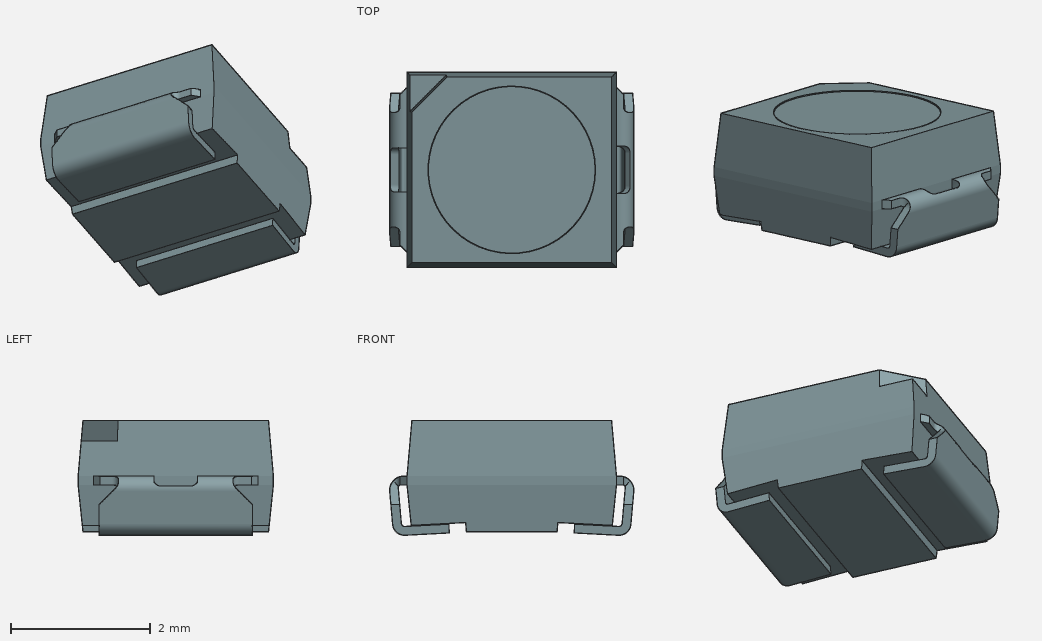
import cadquery as cq
import math

HOUSING_HALF_X = 1.5
HOUSING_HALF_Y = 1.4
HOUSING_TOP_Z = 1.65
HOUSING_BOTTOM_Z = 0.05
DRAFT_INSET = 0.07
DRAFT_ANGLE = 5.0

CUP_RIM_RADIUS = 1.2
CUP_FLOOR_RADIUS = 0.84
CUP_DEPTH = 0.7
LENS_RECESS = 0.015

MARK_DIAGONAL_SUM = 2.258
MARK_DEPTH = 0.298

BLOCK_HALF_X = 0.65
LEAD_CLEARANCE = 0.007

LEAD_THICKNESS = 0.13
LEAD_REACH = 1.75
PLATE_TOP_Z = 0.85
UPPER_BEND_RADIUS = 0.205
LOWER_BEND_RADIUS = 0.175
UPPER_INNER_RADIUS = 0.035
LEG_LEAN = 5.0
FOOT_RISE = 3.0
FOOT_TIP_X = 0.892

LEG_HALF_Y = 1.1
LEG_SHOULDER_Z = 0.44
NECK_HALF_Y = 0.82
NECK_RADIUS = 0.14
PLATE_END_X = 1.6
PLATE_HALF_Y = 1.18
RELIEF_RADIUS = 0.088
RELIEF_MID_ANGLE = 225.0

WINDOW_SLOPE = 45.0
WINDOW_HEIGHT = 0.42
LEFT_WINDOW_HALF_Y = 0.315
LEFT_WINDOW_FLOOR_Z = 0.707
LEFT_WINDOW_RADIUS = 0.098
RIGHT_WINDOW_HALF_Y = 0.34
RIGHT_WINDOW_FLOOR_Z = 0.785
RIGHT_WINDOW_RADIUS = 0.105

PLATE_BOTTOM_Z = PLATE_TOP_Z - LEAD_THICKNESS
LOWER_INNER_RADIUS = LOWER_BEND_RADIUS - LEAD_THICKNESS
UPPER_CENTRE = (LEAD_REACH - UPPER_BEND_RADIUS, PLATE_TOP_Z - UPPER_BEND_RADIUS)

PLATE_NORMAL = 90.0
LEG_NORMAL = -LEG_LEAN
FOOT_NORMAL = -90.0 - FOOT_RISE

FOOT_SLOPE = math.tan(math.radians(FOOT_RISE))
DRAFT_SLOPE = math.tan(math.radians(DRAFT_ANGLE))


def polar(centre, radius, angle):
    """Point at a radius and an angle in degrees around a centre."""
    turn = math.radians(angle)
    return (centre[0] + radius * math.cos(turn), centre[1] + radius * math.sin(turn))


def bend_centre(z, offset):
    """Centre at height z of a bend tangent to a face of the leg.

    The offset is its distance from UPPER_CENTRE, measured square to the leg.
    """
    lean = math.radians(LEG_LEAN)
    drop = UPPER_CENTRE[1] - z
    return (UPPER_CENTRE[0] + (offset - drop * math.sin(lean)) / math.cos(lean), z)


def prism_y(sketch, half_width):
    """Extrude an XZ sketch symmetrically along Y."""
    return sketch.extrude(half_width, both=True)


def foot_top_z(x):
    """Height of the upper face of a foot at a distance x from the middle."""
    start = polar(LOWER_CENTRE, LOWER_INNER_RADIUS, FOOT_NORMAL)
    return start[1] + (start[0] - x) * FOOT_SLOPE


LOWER_CENTRE = bend_centre(LOWER_BEND_RADIUS, UPPER_BEND_RADIUS - LOWER_BEND_RADIUS)
UPPER_INNER_CENTRE = bend_centre(
    PLATE_BOTTOM_Z - UPPER_INNER_RADIUS,
    UPPER_BEND_RADIUS - LEAD_THICKNESS - UPPER_INNER_RADIUS,
)


def drafted_block(start_z, end_z):
    """Block that tapers from the belt section to the inset end section."""
    return (
        cq.Workplane("XY", origin=(0, 0, start_z))
        .rect(2 * HOUSING_HALF_X, 2 * HOUSING_HALF_Y)
        .workplane(offset=end_z - start_z)
        .rect(2 * (HOUSING_HALF_X - DRAFT_INSET), 2 * (HOUSING_HALF_Y - DRAFT_INSET))
        .loft(ruled=True)
    )


def cup_cone(top_radius, height):
    """Cone frustum that stands on the cup floor."""
    return (
        cq.Workplane("XY", origin=(0, 0, HOUSING_TOP_Z - CUP_DEPTH))
        .circle(CUP_FLOOR_RADIUS)
        .workplane(offset=height)
        .circle(top_radius)
        .loft()
    )


def corner_mark():
    """Cutter for the triangular step at the (-X, +Y) corner, its wall drafted."""
    floor_z = HOUSING_TOP_Z - MARK_DEPTH
    floor_sum = MARK_DIAGONAL_SUM + MARK_DEPTH * DRAFT_SLOPE * math.sqrt(2)

    def triangle(sketch, diagonal_sum):
        return sketch.polyline(
            [
                (-HOUSING_HALF_X, diagonal_sum - HOUSING_HALF_X),
                (HOUSING_HALF_Y - diagonal_sum, HOUSING_HALF_Y),
                (-HOUSING_HALF_X, HOUSING_HALF_Y),
            ]
        ).close()

    lower = triangle(cq.Workplane("XY", origin=(0, 0, floor_z)), floor_sum)
    return triangle(lower.workplane(offset=MARK_DEPTH), MARK_DIAGONAL_SUM).loft(ruled=True)


def foot_recess(side):
    """Cutter that clears the foot of one lead beneath the housing."""
    roof_inner_x = BLOCK_HALF_X + (foot_top_z(BLOCK_HALF_X) - HOUSING_BOTTOM_Z) * DRAFT_SLOPE
    points = [
        (BLOCK_HALF_X, HOUSING_BOTTOM_Z),
        (roof_inner_x, foot_top_z(roof_inner_x) + LEAD_CLEARANCE),
        (HOUSING_HALF_X, foot_top_z(HOUSING_HALF_X) + LEAD_CLEARANCE),
        (HOUSING_HALF_X, HOUSING_BOTTOM_Z),
    ]
    outline = cq.Workplane("XZ").polyline([(side * x, z) for x, z in points]).close()
    return prism_y(outline, HOUSING_HALF_Y)


def make_housing():
    belt = (
        cq.Workplane("XY", origin=(0, 0, PLATE_BOTTOM_Z))
        .rect(2 * HOUSING_HALF_X, 2 * HOUSING_HALF_Y)
        .extrude(LEAD_THICKNESS)
    )
    upper = drafted_block(PLATE_TOP_Z, HOUSING_TOP_Z)
    lower = drafted_block(PLATE_BOTTOM_Z, HOUSING_BOTTOM_Z)
    housing = belt.union(upper).union(lower)
    housing = housing.cut(cup_cone(CUP_RIM_RADIUS, CUP_DEPTH)).cut(corner_mark())
    for side in (-1, 1):
        housing = housing.cut(foot_recess(side))
    return housing


def make_lens():
    height = CUP_DEPTH - LENS_RECESS
    wall_run = (CUP_RIM_RADIUS - CUP_FLOOR_RADIUS) * height / CUP_DEPTH
    return cup_cone(CUP_FLOOR_RADIUS + wall_run, height)


def bent_strip():
    """Full-width strip bent through plate, leg and foot, on the +X side."""
    upper_mid = (PLATE_NORMAL + LEG_NORMAL) / 2
    lower_mid = (LEG_NORMAL + FOOT_NORMAL) / 2

    foot_start = polar(LOWER_CENTRE, LOWER_BEND_RADIUS, FOOT_NORMAL)
    tip_lower = (FOOT_TIP_X, foot_start[1] + (foot_start[0] - FOOT_TIP_X) * FOOT_SLOPE)
    tip_upper = polar(tip_lower, LEAD_THICKNESS, FOOT_NORMAL + 180)

    outline = (
        cq.Workplane("XZ")
        .moveTo(HOUSING_HALF_X, PLATE_TOP_Z)
        .lineTo(*polar(UPPER_CENTRE, UPPER_BEND_RADIUS, PLATE_NORMAL))
        .threePointArc(
            polar(UPPER_CENTRE, UPPER_BEND_RADIUS, upper_mid),
            polar(UPPER_CENTRE, UPPER_BEND_RADIUS, LEG_NORMAL),
        )
        .lineTo(*polar(LOWER_CENTRE, LOWER_BEND_RADIUS, LEG_NORMAL))
        .threePointArc(polar(LOWER_CENTRE, LOWER_BEND_RADIUS, lower_mid), foot_start)
        .lineTo(*tip_lower)
        .lineTo(*tip_upper)
        .lineTo(*polar(LOWER_CENTRE, LOWER_INNER_RADIUS, FOOT_NORMAL))
        .threePointArc(
            polar(LOWER_CENTRE, LOWER_INNER_RADIUS, lower_mid),
            polar(LOWER_CENTRE, LOWER_INNER_RADIUS, LEG_NORMAL),
        )
        .lineTo(*polar(UPPER_INNER_CENTRE, UPPER_INNER_RADIUS, LEG_NORMAL))
        .threePointArc(
            polar(UPPER_INNER_CENTRE, UPPER_INNER_RADIUS, upper_mid),
            polar(UPPER_INNER_CENTRE, UPPER_INNER_RADIUS, PLATE_NORMAL),
        )
        .lineTo(HOUSING_HALF_X, PLATE_BOTTOM_Z)
        .close()
    )
    return prism_y(outline, PLATE_HALF_Y)


def leg_outline():
    """Prism along X with the leg's width profile: wide foot, 45 degree shoulders, neck."""
    neck_z = LEG_SHOULDER_Z + LEG_HALF_Y - NECK_HALF_Y
    outline = cq.Workplane("YZ").polyline(
        [
            (-LEG_HALF_Y, 0),
            (LEG_HALF_Y, 0),
            (LEG_HALF_Y, LEG_SHOULDER_Z),
            (NECK_HALF_Y, neck_z),
            (NECK_HALF_Y, PLATE_TOP_Z),
            (-NECK_HALF_Y, PLATE_TOP_Z),
            (-NECK_HALF_Y, neck_z),
            (-LEG_HALF_Y, LEG_SHOULDER_Z),
        ]
    )
    leg = outline.close().extrude(LEAD_REACH)
    neck_corners = [(LEAD_REACH / 2, side * NECK_HALF_Y, neck_z) for side in (-1, 1)]
    for corner in neck_corners:
        leg = leg.edges(cq.selectors.NearestToPointSelector(corner)).fillet(NECK_RADIUS)
    return leg


def plate_outline():
    """Prism along Z with the plate's plan: 45 degree ends and rounded neck corners."""
    end_half_y = PLATE_HALF_Y - (PLATE_END_X - HOUSING_HALF_X)
    relief_y = NECK_HALF_Y + RELIEF_RADIUS
    relief_x = PLATE_END_X + RELIEF_RADIUS
    arc_x, arc_y = polar((relief_x, relief_y), RELIEF_RADIUS, RELIEF_MID_ANGLE)
    return (
        cq.Workplane("XY", origin=(0, 0, UPPER_CENTRE[1]))
        .moveTo(HOUSING_HALF_X, PLATE_HALF_Y)
        .lineTo(PLATE_END_X, end_half_y)
        .lineTo(PLATE_END_X, relief_y)
        .threePointArc((arc_x, arc_y), (relief_x, NECK_HALF_Y))
        .lineTo(relief_x, -NECK_HALF_Y)
        .threePointArc((arc_x, -arc_y), (PLATE_END_X, -relief_y))
        .lineTo(PLATE_END_X, -end_half_y)
        .lineTo(HOUSING_HALF_X, -PLATE_HALF_Y)
        .close()
        .extrude(UPPER_BEND_RADIUS)
    )


def bend_window(half_width, floor_z, corner_radius):
    """Cutter through the upper bend, its sloping floor rounded into its side walls."""
    slope = math.radians(WINDOW_SLOPE)
    rise = floor_z - UPPER_CENTRE[1]
    floor_x = UPPER_CENTRE[0] + math.sqrt(UPPER_BEND_RADIUS**2 - rise**2)
    floor_plane = cq.Plane(
        origin=(floor_x, 0, floor_z),
        xDir=(0, -1, 0),
        normal=(-math.cos(slope), 0, -math.sin(slope)),
    )
    section = cq.Sketch().rect(2 * half_width, WINDOW_HEIGHT).vertices().fillet(corner_radius)
    return (
        cq.Workplane(floor_plane)
        .center(0, WINDOW_HEIGHT / 2)
        .placeSketch(section)
        .extrude(WINDOW_HEIGHT, both=True)
    )


def make_lead(window):
    """Lead on the +X side with the given window through its upper bend."""
    outline = leg_outline().union(plate_outline())
    return bent_strip().intersect(outline).cut(window).solids()


housing = make_housing()
lens = make_lens()
left_window = bend_window(LEFT_WINDOW_HALF_Y, LEFT_WINDOW_FLOOR_Z, LEFT_WINDOW_RADIUS)
left_lead = make_lead(left_window).mirror("YZ")
right_window = bend_window(RIGHT_WINDOW_HALF_Y, RIGHT_WINDOW_FLOOR_Z, RIGHT_WINDOW_RADIUS)
right_lead = make_lead(right_window)

result = cq.Compound.makeCompound([housing.val(), lens.val(), left_lead.val(), right_lead.val()])